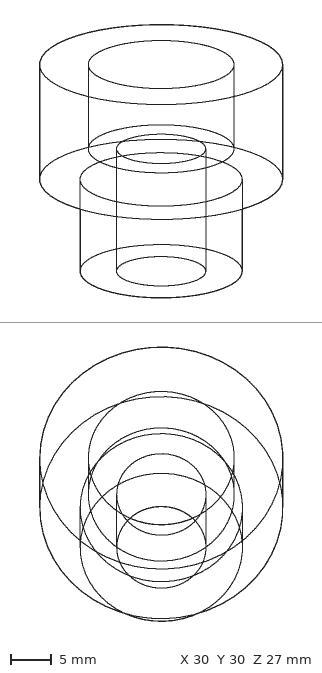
import cadquery as cq

head_diameter = 30.0
head_height = 15.0
neck_diameter = 20.0
neck_height = 12.0
total_height = neck_height + head_height

counterbore_diameter = 18.0
counterbore_depth = 11.0
through_hole_diameter = 11.0


def cylinder(diameter, height, base_z):
    """Solid cylinder on the Z axis, rising from base_z."""
    return cq.Workplane("XY").workplane(offset=base_z).circle(diameter / 2).extrude(height)


neck = cylinder(neck_diameter, neck_height, 0)
head = cylinder(head_diameter, head_height, neck_height)
through_hole = cylinder(through_hole_diameter, total_height, 0)
counterbore = cylinder(counterbore_diameter, counterbore_depth, total_height - counterbore_depth)

result = neck.union(head).cut(through_hole).cut(counterbore)